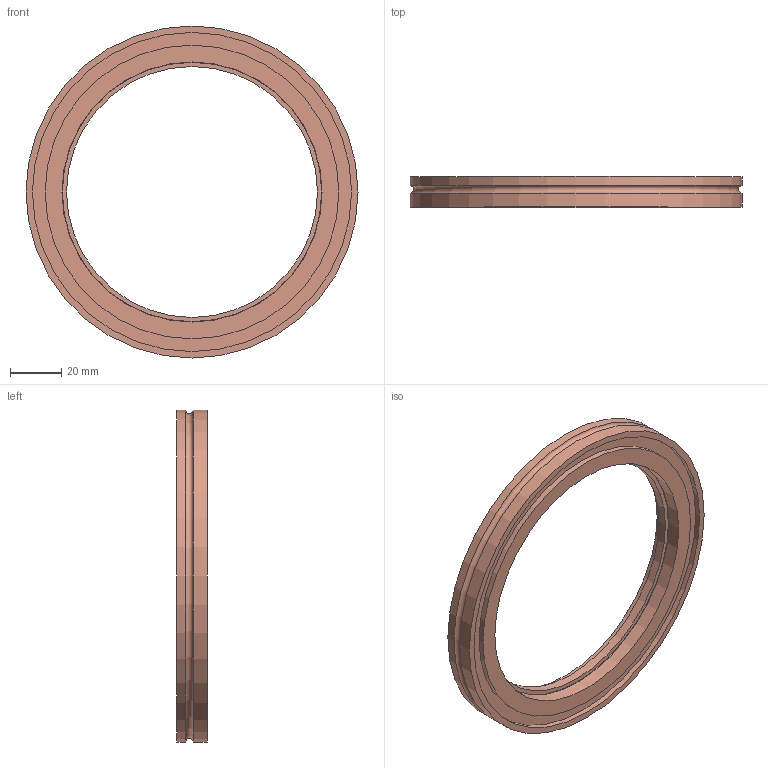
import cadquery as cq
import math

outer_radius = 65.025
width = 11.94
front_y = -width / 2
back_y = width / 2

groove_center_y = 1.02
groove_radius = 1.53

recess_inner_radius = 57.52
recess_outer_radius = 62.5
recess_depth = 2.16
recess_floor_y = front_y + recess_depth

land_radius = 49.145
counterbore_radius = 50.93
land_front_y = -0.39
land_back_y = 3.2
corner_fillet_radius = 0.13


def groove_point(angle):
    """Profile point (y, radius) on the groove circle, angle in degrees from +Y."""
    turn = math.radians(angle)
    return (
        groove_center_y + groove_radius * math.cos(turn),
        outer_radius + groove_radius * math.sin(turn),
    )


def add_bore(profile):
    """From the front face, along the bore to the back face."""
    fillet_mid = corner_fillet_radius * (1 - math.sqrt(0.5))
    return (
        profile.moveTo(front_y, counterbore_radius)
        .lineTo(land_front_y - corner_fillet_radius, counterbore_radius)
        .threePointArc(
            (land_front_y - fillet_mid, counterbore_radius - fillet_mid),
            (land_front_y, counterbore_radius - corner_fillet_radius),
        )
        .lineTo(land_front_y, land_radius)
        .lineTo(land_back_y, land_radius)
        .lineTo(land_back_y, counterbore_radius)
        .lineTo(back_y, counterbore_radius)
    )


def add_outside(profile):
    """From the back face, over the rim and its groove to the front face."""
    return (
        profile.lineTo(back_y, outer_radius)
        .lineTo(*groove_point(0))
        .threePointArc(groove_point(-45), groove_point(-90))
        .threePointArc(groove_point(-135), groove_point(-180))
        .lineTo(front_y, outer_radius)
    )


def add_front_recess(profile):
    """From the rim, down into the recess and back up to the front face."""
    return (
        profile.lineTo(front_y, recess_outer_radius)
        .lineTo(recess_floor_y, recess_outer_radius)
        .lineTo(recess_floor_y, recess_inner_radius)
        .lineTo(front_y, recess_inner_radius)
    )


section = add_bore(cq.Workplane("YZ"))
section = add_outside(section)
section = add_front_recess(section)
result = section.close().revolve(360, (0, 0, 0), (1, 0, 0))